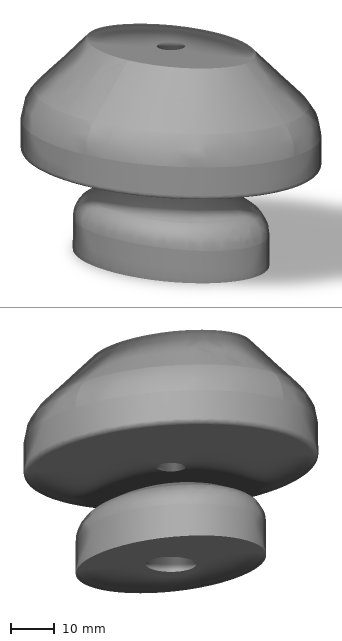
import cadquery as cq

HOUSING_LENGTH = 74.0
HOUSING_WIDTH = 60.0
HOUSING_BOTTOM = 23.15
HOUSING_TOP = 50.0
SLOPE_HEIGHT = 14.95
SLOPE_ANGLE = 45
SHOULDER_RADIUS = 10.0
BOTTOM_RADIUS = 1.0
HOUSING_BORE = 6.5
SELECT_MARGIN = 0.75

BUTTON_LENGTH = 50.15
BUTTON_WIDTH = 36.0
CROWN_HEIGHT = 17.6
CROWN_RADIUS = 28.5
BUTTON_EDGE_RADIUS = 6.2
BUTTON_BORE = 11.5


def make_housing():
    shoulder = HOUSING_TOP - SLOPE_HEIGHT
    base = (
        cq.Workplane("XY", origin=(0, 0, HOUSING_BOTTOM))
        .ellipse(HOUSING_LENGTH / 2, HOUSING_WIDTH / 2)
        .extrude(shoulder - HOUSING_BOTTOM)
    )
    slope = (
        cq.Workplane("XY", origin=(0, 0, shoulder))
        .ellipse(HOUSING_LENGTH / 2, HOUSING_WIDTH / 2)
        .extrude(SLOPE_HEIGHT, taper=SLOPE_ANGLE)
    )
    shoulder_edge = cq.selectors.BoxSelector(
        (-HOUSING_LENGTH, -HOUSING_LENGTH, shoulder - SELECT_MARGIN),
        (HOUSING_LENGTH, HOUSING_LENGTH, shoulder + SELECT_MARGIN),
    )
    body = base.union(slope).edges(shoulder_edge).fillet(SHOULDER_RADIUS)
    body = body.faces("<Z").edges().fillet(BOTTOM_RADIUS)
    return body.faces(">Z").workplane(origin=(0, 0, HOUSING_TOP)).hole(HOUSING_BORE)


def make_crown():
    """Sphere stretched along X to the proportions of the button."""
    stretch = cq.Matrix([
        [BUTTON_LENGTH / BUTTON_WIDTH, 0, 0, 0],
        [0, 1, 0, 0],
        [0, 0, 1, CROWN_HEIGHT - CROWN_RADIUS],
    ])
    sphere = cq.Workplane("XY").sphere(CROWN_RADIUS)
    return cq.Workplane(sphere.val().transformGeometry(stretch))


def make_button():
    disc = (
        cq.Workplane("XY")
        .ellipse(BUTTON_LENGTH / 2, BUTTON_WIDTH / 2)
        .extrude(CROWN_HEIGHT)
    )
    body = disc.intersect(make_crown())
    crown_rim = body.faces(">Z").edges(">Y")
    body = crown_rim.fillet(BUTTON_EDGE_RADIUS)
    bore = cq.Workplane("XY").circle(BUTTON_BORE / 2).extrude(CROWN_HEIGHT)
    return body.cut(bore)


housing = make_housing()
button = make_button()
result = cq.Compound.makeCompound([housing.val(), button.val()])